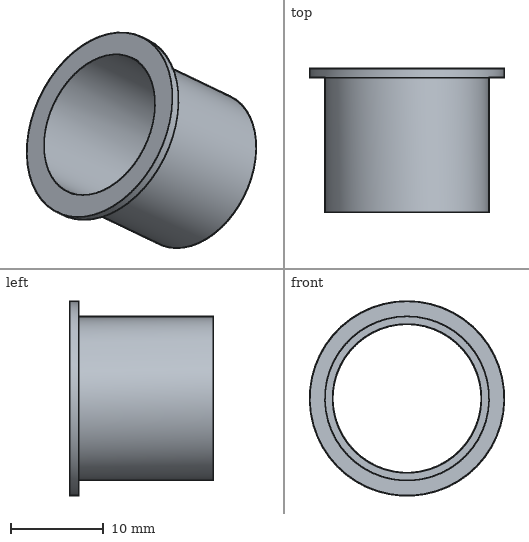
import cadquery as cq

bore_diameter = 16.0
sleeve_diameter = 17.7
flange_diameter = 21.0
flange_thickness = 1.0
overall_length = 15.5


def cylinder_along_y(diameter, start_y, length):
    """Solid cylinder on the Y axis, running from start_y toward +Y."""
    plane = cq.Plane(origin=(0, start_y, 0), xDir=(0, 0, 1), normal=(0, 1, 0))
    return cq.Workplane(plane).circle(diameter / 2).extrude(length)


sleeve = cylinder_along_y(sleeve_diameter, 0, overall_length)
flange = cylinder_along_y(flange_diameter, overall_length - flange_thickness, flange_thickness)
bore = cylinder_along_y(bore_diameter, 0, overall_length)

result = sleeve.union(flange).cut(bore)